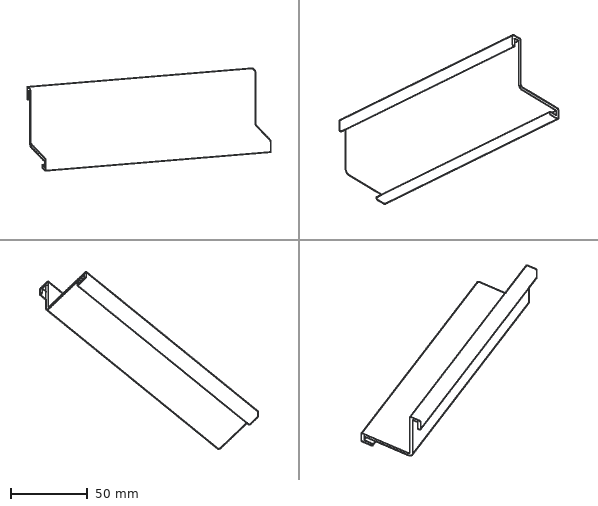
import cadquery as cq

length = 152.4
overall = 44.8
wall = 2.3
hook_width = 8.2
lip_length = 8.8
inner_bend_radius = 1.4
corner_radius = 1.4

outer_bend_radius = inner_bend_radius + wall
web_outer = hook_width - wall
flange_top = hook_width
flange_bottom = flange_top - wall


def make_section():
    """L section with a lip hooked outward at the end of each leg.

    The free lip edges are fully rounded; all other corners are sharp.
    """
    lip_end = overall - lip_length
    lip_arc_start = lip_end + wall / 2
    return (
        cq.Workplane("XZ")
        .moveTo(0, overall)
        .lineTo(hook_width, overall)
        .lineTo(hook_width, flange_top)
        .lineTo(overall, flange_top)
        .lineTo(overall, 0)
        .lineTo(lip_arc_start, 0)
        .threePointArc((lip_end, wall / 2), (lip_arc_start, wall))
        .lineTo(overall - wall, wall)
        .lineTo(overall - wall, flange_bottom)
        .lineTo(web_outer, flange_bottom)
        .lineTo(web_outer, overall - wall)
        .lineTo(wall, overall - wall)
        .lineTo(wall, lip_arc_start)
        .threePointArc((wall / 2, lip_end), (0, lip_arc_start))
        .close()
        .extrude(-length)
    )


def round_edges(body, corners, radius):
    """Fillet the lengthwise edges passing through the given (x, z) corners."""
    for x, z in corners:
        edge = cq.selectors.NearestToPointSelector((x, length / 2, z))
        body = body.edges("|Y").edges(edge).fillet(radius)
    return body


hook_corners = [
    (0, overall),
    (hook_width, overall),
    (overall, flange_top),
    (overall, 0),
]

result = make_section()
result = round_edges(result, [(hook_width, flange_top)], inner_bend_radius)
result = round_edges(result, [(web_outer, flange_bottom)], outer_bend_radius)
result = round_edges(result, hook_corners, corner_radius)